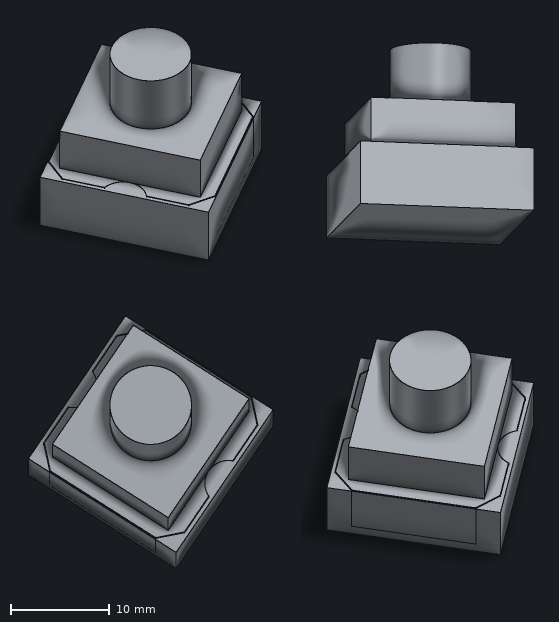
import cadquery as cq

side = 18.0
housing_height = 6.5
floor_thickness = 1.0

recess_x = 17.8
recess_y = 17.15
corner_cut = 2.12

clearance = 0.05

key_radius = 2.41

block_x = 15.0
block_y = 14.1
block_height = 5.0
button_diameter = 8.3
button_height = side - housing_height - block_height

key_center_y = block_y / 2 + key_radius


def chamfered_prism(size_x, size_y, cut):
    """Rectangular prism of the recess depth with its four upright edges cut at 45 degrees."""
    return (
        cq.Workplane("XY")
        .workplane(offset=floor_thickness)
        .rect(size_x, size_y)
        .extrude(housing_height - floor_thickness)
        .edges("|Z")
        .chamfer(cut)
    )


def make_keys():
    """Upright cylinders centred beyond the front and back sides of the recess."""
    return (
        cq.Workplane("XY")
        .workplane(offset=floor_thickness)
        .pushPoints([(0, -key_center_y), (0, key_center_y)])
        .circle(key_radius)
        .extrude(housing_height - floor_thickness)
    )


def make_notched_prism(gap):
    """Outline of the recess, drawn in by a gap on its straight sides, with both round notches."""
    return chamfered_prism(recess_x - 2 * gap, recess_y - 2 * gap, corner_cut).cut(make_keys())


def make_housing():
    """Square block with a chamfered blind recess and two inward round keys."""
    outer_block = cq.Workplane("XY").rect(side, side).extrude(housing_height)
    return outer_block.cut(make_notched_prism(gap=0))


def make_plunger():
    """Notched foot flush with the housing, carrying a block and a round button."""
    foot = make_notched_prism(clearance)
    block = (
        cq.Workplane("XY")
        .workplane(offset=housing_height)
        .rect(block_x, block_y)
        .extrude(block_height)
    )
    button = (
        cq.Workplane("XY")
        .workplane(offset=housing_height + block_height)
        .circle(button_diameter / 2)
        .extrude(button_height)
    )
    return foot.union(block).union(button)


housing = make_housing()
plunger = make_plunger()

result = cq.Compound.makeCompound([*housing.solids().vals(), *plunger.solids().vals()])